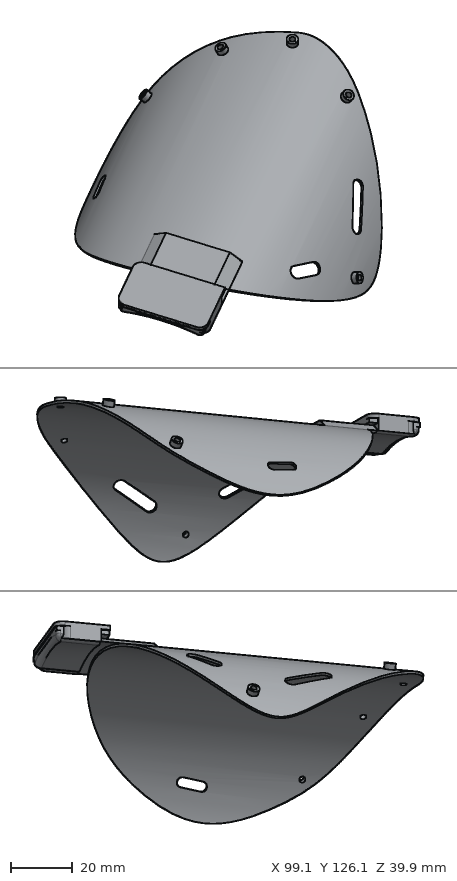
import cadquery as cq
import math

OUTER_RADIUS = 52.0
SHEET_THICKNESS = 0.9
CUT_REACH = 4.0
INNER_RADIUS = OUTER_RADIUS - SHEET_THICKNESS
BEND_LENGTH = 200.0

OUTLINE_POINTS = [
    (0.5, 62.7),
    (-10.8, 59.5),
    (-29.3, 51.7),
    (-41.0, 41.2),
    (-46.8, 27.0),
    (-49.54, 3.5),
    (-46.7, -17.2),
    (-39.1, -32.2),
    (-24.5, -41.7),
    (-5.0, -44.8),
    (15.8, -40.9),
    (33.8, -30.1),
    (45.3, -15.2),
    (49.54, 3.0),
    (44.6, 22.6),
    (28.6, 47.9),
    (15.0, 59.8),
]

STUD_DIAMETER = 3.8
STUD_HOLE_DIAMETER = 2.0
STUD_HEIGHT = 2.0
STUD_PLACES = [(-52.9, 34.8), (-24.0, 50.0), (0.0, 58.0), (26.0, 47.3), (61.4, -4.8)]

SLOTS = [
    (48.4, 15.8, 14.2, 4.2, 27.5),
    (40.3, -17.8, 8.2, 4.4, -42.0),
    (-58.7, -1.5, 6.8, 3.4, 7.0),
]

MOUNT_CENTRE_X = 0.3
MOUNT_WIDTH = 31.0
SADDLE_TOP_WIDTH = 22.2
SADDLE_TOP_Z = 52.45
SADDLE_REAR_Y = -28.8
PLATE_REAR_Y = -44.7
FRONT_Y = -62.95
CORNER_RADIUS = 3.0
LAYER_THICKNESS = 1.5
PLATE_BOTTOM_Z = SADDLE_TOP_Z + LAYER_THICKNESS
PLATE_TOP_Z = PLATE_BOTTOM_Z + LAYER_THICKNESS
PLATE_OVERHANG = 0.4
TONGUE_INSET = 0.8
TONGUE_WIDTH = MOUNT_WIDTH - 2 * TONGUE_INSET
TONGUE_FRONT_Y = FRONT_Y + PLATE_OVERHANG
TONGUE_CORNER_RADIUS = 1.2
TONGUE_EDGE_RADIUS = 2.0
BLOCK_REAR_Y = PLATE_REAR_Y - CORNER_RADIUS
BLOCK_SETBACK = 1.8
BLOCK_FRONT_Y = FRONT_Y + BLOCK_SETBACK
MOUNT_FLOOR_Z = 40.0


def bend_cylinder(radius):
    return cq.Workplane("XZ", origin=(0, BEND_LENGTH / 2, 0)).circle(radius).extrude(BEND_LENGTH)


def sheet_plane(angle, y):
    """Plane touching the outer face: X runs around the bend, Y along it, Z outward."""
    a = math.radians(angle)
    origin = (OUTER_RADIUS * math.sin(a), y, OUTER_RADIUS * math.cos(a))
    outward = (math.sin(a), 0, math.cos(a))
    return cq.Plane(origin=origin, xDir=(math.cos(a), 0, -math.sin(a)), normal=outward)


def make_shell():
    """Trim the outer bend face to the outline and thicken it inward, leaving square edges."""
    outline = cq.Workplane("XY").spline(OUTLINE_POINTS, periodic=True).close().extrude(OUTER_RADIUS + CUT_REACH)
    skin = bend_cylinder(OUTER_RADIUS).faces("%CYLINDER").val().intersect(outline.val())
    return cq.Workplane(skin.Faces()[0].thicken(-SHEET_THICKNESS))


def slot_cutter(angle, y, centre_distance, width, turn):
    plane = sheet_plane(angle, y).rotated((0, 0, 90 + turn))
    slot = cq.Workplane(plane).slot2D(centre_distance + width, width)
    return slot.extrude(CUT_REACH, both=True)


def stud(angle, y):
    root = cq.Workplane(sheet_plane(angle, y)).workplane(offset=-SHEET_THICKNESS / 2)
    return root.circle(STUD_DIAMETER / 2).extrude(STUD_HEIGHT + SHEET_THICKNESS / 2)


def stud_hole(angle, y):
    hole = cq.Workplane(sheet_plane(angle, y)).circle(STUD_HOLE_DIAMETER / 2)
    return hole.extrude(CUT_REACH, both=True)


def mount_box(width, rear_y, front_y, bottom_z, top_z):
    box = cq.Workplane("XY").box(width, rear_y - front_y, top_z - bottom_z, centered=(True, False, False))
    return box.translate((MOUNT_CENTRE_X, front_y, bottom_z))


def make_saddle():
    """Flat-topped ridge whose sides slope down to the outer face of the shell."""
    half_base = MOUNT_WIDTH / 2
    half_top = SADDLE_TOP_WIDTH / 2
    foot_z = math.sqrt(OUTER_RADIUS**2 - half_base**2)
    profile = [
        (MOUNT_CENTRE_X - half_base, foot_z),
        (MOUNT_CENTRE_X - half_top, SADDLE_TOP_Z),
        (MOUNT_CENTRE_X + half_top, SADDLE_TOP_Z),
        (MOUNT_CENTRE_X + half_base, foot_z),
        (MOUNT_CENTRE_X + half_base, MOUNT_FLOOR_Z),
        (MOUNT_CENTRE_X - half_base, MOUNT_FLOOR_Z),
    ]
    ridge = cq.Workplane("XZ", origin=(0, SADDLE_REAR_Y, 0)).polyline(profile).close()
    return ridge.extrude(SADDLE_REAR_Y - BLOCK_REAR_Y)


def make_tongue():
    """Rounded nose carrying on the sheet's inner curve under a flat spacer layer."""
    nose = mount_box(TONGUE_WIDTH, BLOCK_REAR_Y, TONGUE_FRONT_Y, MOUNT_FLOOR_Z, PLATE_TOP_Z)
    nose = nose.edges("|Z and <Y").fillet(TONGUE_CORNER_RADIUS)
    nose = nose.cut(bend_cylinder(INNER_RADIUS))
    middle_y = (BLOCK_REAR_Y + TONGUE_FRONT_Y) / 2
    underside = nose.faces(cq.NearestToPointSelector((MOUNT_CENTRE_X, middle_y, INNER_RADIUS)))
    nose = underside.edges("not >Y").fillet(TONGUE_EDGE_RADIUS)
    spacer = mount_box(TONGUE_WIDTH, PLATE_REAR_Y, TONGUE_FRONT_Y, SADDLE_TOP_Z, PLATE_BOTTOM_Z)
    above_nose = mount_box(MOUNT_WIDTH, BLOCK_REAR_Y, FRONT_Y, SADDLE_TOP_Z, PLATE_TOP_Z)
    return nose.cut(above_nose).union(spacer)


def make_mount():
    """Saddle, block and plate on the outer face of the bend, joined to the tongue."""
    plate = mount_box(MOUNT_WIDTH, PLATE_REAR_Y, FRONT_Y, PLATE_BOTTOM_Z, PLATE_TOP_Z)
    plate = plate.edges("|Z and (<X or <Y)").fillet(CORNER_RADIUS)
    block = mount_box(MOUNT_WIDTH, BLOCK_REAR_Y, BLOCK_FRONT_Y, MOUNT_FLOOR_Z, PLATE_TOP_Z)
    block = block.edges("|Z and <Y").fillet(CORNER_RADIUS)
    upper = make_saddle().union(block).union(plate)
    return upper.cut(bend_cylinder(OUTER_RADIUS)).union(make_tongue())


result = make_shell()
for slot in SLOTS:
    result = result.cut(slot_cutter(*slot))
for place in STUD_PLACES:
    result = result.union(stud(*place))
for place in STUD_PLACES:
    result = result.cut(stud_hole(*place))
result = result.union(make_mount())